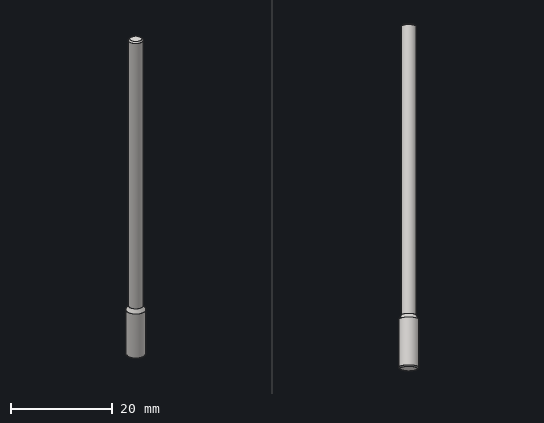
import cadquery as cq
import math

total_length = 70.0

head_radius = 4.02 / 2
head_length = 10.0
head_chamfer = 0.25

shank_radius = 3.0 / 2
shank_tip_chamfer = 0.3
flare_angle = 30.0
flare_height = (head_radius - shank_radius) / math.tan(math.radians(flare_angle))


def make_head():
    """Solid cylinder standing on Z = 0 with a chamfered lower rim."""
    blank = cq.Workplane("XY").circle(head_radius).extrude(head_length)
    return blank.faces("<Z").chamfer(head_chamfer)


def make_shank():
    """Revolved rod resting on the head, with a conical foot and a chamfered tip."""
    flare_top = head_length + flare_height
    profile = (
        cq.Workplane("XZ")
        .moveTo(0, head_length)
        .lineTo(head_radius, head_length)
        .lineTo(shank_radius, flare_top)
        .lineTo(shank_radius, total_length - shank_tip_chamfer)
        .lineTo(shank_radius - shank_tip_chamfer, total_length)
        .lineTo(0, total_length)
        .close()
    )
    return profile.revolve(360, (0, 0, 0), (0, 1, 0))


head = make_head()
shank = make_shank()

result = cq.Compound.makeCompound([head.val(), shank.val()])